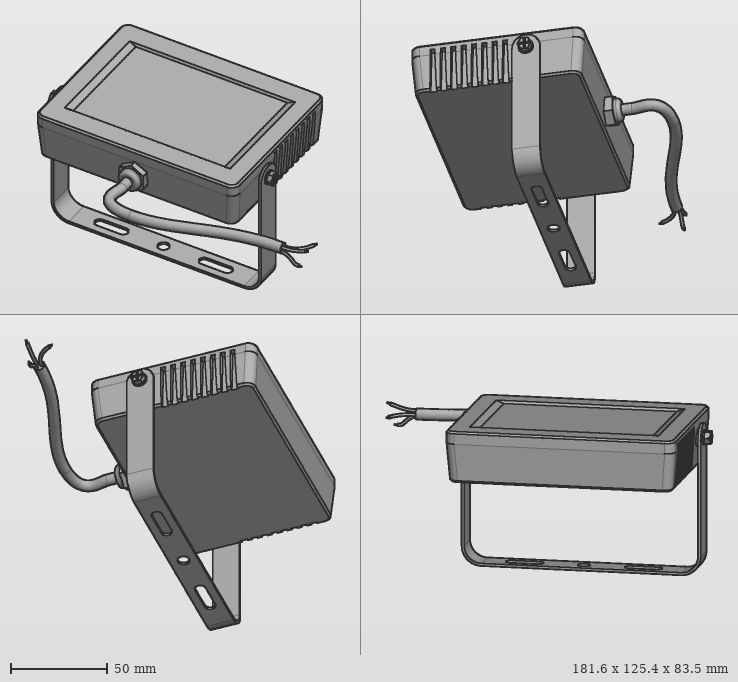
import cadquery as cq
import math


HOUSING_X = 121.8
HOUSING_Y = 91.8
HOUSING_Z = 27.5
FRAME_Z = 6.5
SHELL_Z = HOUSING_Z - FRAME_Z
DRAFT = 4.5
CORNER_R = 4.9
EDGE_CHAMFER = 1.0

WINDOW_X = 100.3
WINDOW_Y = 65.6
WINDOW_DEPTH = 1.5
WINDOW_SLOPE_X = 4.2
WINDOW_SLOPE_Y = 0.9

SLOT_COUNT = 8
SLOT_PITCH = 5.52
FIRST_SLOT_Y = 34.0
SLOT_TOP_Z = 24.0
SLOT_TOP_WIDTH = 2.4
SLOT_BACK_WIDTH = 3.5
SLOT_DEPTH = 3.6

STRAP_T = 1.5
STRAP_WIDTH = 14.9
BRACKET_X = 127.2
BRACKET_BOTTOM_Z = -56.0
EAR_FLAT = 0.04
BEND_R = 10.5
MOUNT_HOLE_D = 6.5
MOUNT_SLOT_LENGTH = 20.0
MOUNT_SLOT_WIDTH = 5.8
MOUNT_SLOT_X = 31.6

PIVOT_Y = -16.5
PIVOT_Z = 16.5
BOSS_D = 9.6
SHANK_D = 4.0
FLANGE_D = 7.8
FLANGE_T = 0.9
HEAD_CORNERS = 7.5
HEAD_T = 3.0
CROSS_LENGTH = 5.5
CROSS_WIDTH = 1.0
CROSS_DEPTH = 1.0

GLAND_Z = 12.0
NUT_FLATS = 14.7
NUT_LENGTH = 3.6
DOME_D = 12.7
DOME_LENGTH = 3.6
DOME_FILLET = 2.2

CABLE_D = 6.0
SLEEVE_LENGTH = 5.5
CABLE_END_X = 98.1
CABLE_END_Y = -59.5
CABLE_LOW_X = 16.0
CABLE_LOW_Y = -76.5
SLEEVE_HANDLE = 5.0
BULGE_X = -5.8
BULGE_Y = -71.5
LOW_HANDLE_BEFORE = 14.2
LOW_HANDLE_AFTER = 26.5
END_HANDLE = 36.3

WIRE_D = 1.6
CORE_D = 0.7
CORE_LENGTH = 1.6
WIRE_EMBED = 1.8
WIRE_RING_R = 1.5
SIDEWAYS_XY = [(103.5, -56.7), (108.0, -53.2), (110.7, -48.7)]
UPWARD_XZ = [(104.5, 14.0), (112.5, 16.5)]
DOWNWARD_XZ = [(101.2, 9.8), (106.0, 6.0), (108.5, 5.5)]
SIDEWAYS_END = (1, 2, 0)
UPWARD_END = (3, 0, 1)
DOWNWARD_END = (1, 0, 0)

EMBED = 3.6

half_x = HOUSING_X / 2
front_y = -HOUSING_Y / 2
nut_end_y = front_y - NUT_LENGTH
dome_end_y = nut_end_y - DOME_LENGTH
sleeve_end_y = dome_end_y - SLEEVE_LENGTH
bracket_half_x = BRACKET_X / 2


def frame_and_shell():
    frame = (
        cq.Workplane("XY", origin=(0, 0, SHELL_Z))
        .rect(HOUSING_X, HOUSING_Y)
        .extrude(FRAME_Z)
        .edges("|Z")
        .fillet(CORNER_R)
        .faces(">Z")
        .chamfer(EDGE_CHAMFER)
    )
    shell = (
        cq.Workplane("XY", origin=(0, 0, SHELL_Z))
        .rect(HOUSING_X, HOUSING_Y)
        .extrude(-SHELL_Z, taper=DRAFT)
        .edges("not #Z")
        .fillet(CORNER_R)
        .faces("<Z")
        .chamfer(EDGE_CHAMFER)
    )
    return frame.union(shell)


def window():
    return (
        cq.Workplane("XY", origin=(0, 0, HOUSING_Z))
        .rect(WINDOW_X, WINDOW_Y)
        .workplane(offset=-WINDOW_DEPTH)
        .rect(WINDOW_X - 2 * WINDOW_SLOPE_X, WINDOW_Y - 2 * WINDOW_SLOPE_Y)
        .loft(ruled=True)
    )


def cooling_slot(side, y):
    outline = [
        (y - SLOT_BACK_WIDTH / 2, 0),
        (y + SLOT_BACK_WIDTH / 2, 0),
        (y + SLOT_TOP_WIDTH / 2, SLOT_TOP_Z),
        (y - SLOT_TOP_WIDTH / 2, SLOT_TOP_Z),
    ]
    floor_x = side * (half_x - SLOT_DEPTH)
    return cq.Workplane("YZ", origin=(floor_x, 0, 0)).polyline(outline).close().extrude(side * SLOT_DEPTH)


def pivot_bolt(side):
    """Boss, shank and cross-recessed hexagon head on one X side of the housing."""
    strap_inner_x = bracket_half_x - STRAP_T
    flange_x = bracket_half_x + FLANGE_T
    head_end_x = flange_x + HEAD_T

    def across(x):
        return cq.Workplane("YZ", origin=(side * x, PIVOT_Y, PIVOT_Z))

    boss_start_x = half_x - EMBED
    boss = across(boss_start_x).circle(BOSS_D / 2).extrude(side * (strap_inner_x - boss_start_x))
    shank = across(strap_inner_x).circle(SHANK_D / 2).extrude(side * STRAP_T)
    flange = across(bracket_half_x).circle(FLANGE_D / 2).extrude(side * FLANGE_T)
    head = across(flange_x).polygon(6, HEAD_CORNERS).extrude(side * HEAD_T)
    cross = (
        across(head_end_x)
        .rect(CROSS_LENGTH, CROSS_WIDTH)
        .extrude(-side * CROSS_DEPTH)
        .union(across(head_end_x).rect(CROSS_WIDTH, CROSS_LENGTH).extrude(-side * CROSS_DEPTH))
    )
    return boss.union(shank).union(flange).union(head.cut(cross))


def gland():
    """Hexagon nut, rounded dome and straight cable sleeve along -Y."""
    def along(y):
        return cq.Workplane("XZ", origin=(0, y, GLAND_Z))

    nut_corners = NUT_FLATS / math.cos(math.radians(30))
    nut = (
        along(front_y + EMBED)
        .transformed(rotate=(0, 0, 90))
        .polygon(6, nut_corners)
        .extrude(NUT_LENGTH + EMBED)
    )
    dome = along(nut_end_y).circle(DOME_D / 2).extrude(DOME_LENGTH).faces("<Y").edges().fillet(DOME_FILLET)
    sleeve = along(dome_end_y).circle(CABLE_D / 2).extrude(SLEEVE_LENGTH)
    return nut.union(dome).union(sleeve)


def cable():
    sleeve_end = (0, sleeve_end_y)
    low_point = (CABLE_LOW_X, CABLE_LOW_Y)
    bend = [
        sleeve_end,
        (0, sleeve_end_y - SLEEVE_HANDLE),
        (BULGE_X, BULGE_Y),
        (CABLE_LOW_X - LOW_HANDLE_BEFORE, CABLE_LOW_Y),
        low_point,
    ]
    run = [
        low_point,
        (CABLE_LOW_X + LOW_HANDLE_AFTER, CABLE_LOW_Y),
        (CABLE_END_X - END_HANDLE, CABLE_END_Y),
        (CABLE_END_X, CABLE_END_Y),
    ]
    path = cq.Workplane("XY", origin=(0, 0, GLAND_Z)).bezier(bend).bezier(run)
    return cq.Workplane("XZ", origin=(0, sleeve_end_y, GLAND_Z)).circle(CABLE_D / 2).sweep(path)


def wire(bends, end_direction):
    """Insulated wire through the given points, starting along +X, with a bare core at its tip."""
    start = cq.Vector(*bends[0]) - cq.Vector(WIRE_EMBED, 0, 0)
    tip = cq.Vector(*bends[-1])
    direction = cq.Vector(*end_direction).normalized()
    points = [start] + [cq.Vector(*bend) for bend in bends]
    path = cq.Edge.makeSpline(points, tangents=[cq.Vector(1, 0, 0), direction])
    insulation = cq.Workplane("YZ", origin=start.toTuple()).circle(WIRE_D / 2).sweep(cq.Workplane(path))
    core = cq.Solid.makeCylinder(CORE_D / 2, 2 * CORE_LENGTH, tip - direction * CORE_LENGTH, direction)
    return insulation.union(cq.Workplane(core))


def wires():
    side_y = CABLE_END_Y + WIRE_RING_R
    pair_y = CABLE_END_Y - WIRE_RING_R * math.sin(math.radians(60))
    high_z = GLAND_Z + WIRE_RING_R
    low_z = GLAND_Z - WIRE_RING_R
    sideways = [(CABLE_END_X, side_y, GLAND_Z)] + [(x, y, GLAND_Z) for x, y in SIDEWAYS_XY]
    upward = [(CABLE_END_X, pair_y, high_z)] + [(x, pair_y, z) for x, z in UPWARD_XZ]
    downward = [(CABLE_END_X, pair_y, low_z)] + [(x, pair_y, z) for x, z in DOWNWARD_XZ]
    return [wire(sideways, SIDEWAYS_END), wire(upward, UPWARD_END), wire(downward, DOWNWARD_END)]


def make_floodlight():
    body = frame_and_shell().cut(window())
    for side in (-1, 1):
        for i in range(SLOT_COUNT):
            body = body.cut(cooling_slot(side, FIRST_SLOT_Y - i * SLOT_PITCH))
        body = body.union(pivot_bolt(side))
    body = body.union(gland()).union(cable())
    for strand in wires():
        body = body.union(strand)
    return body


def make_bracket():
    """U-shaped strap with rounded ears, pivot holes and mounting openings in its base."""
    ear_r = STRAP_WIDTH / 2
    strap_top_z = PIVOT_Z + ear_r
    strap_height = strap_top_z - BRACKET_BOTTOM_Z
    inner_x = BRACKET_X - 2 * STRAP_T

    def block(width, height, bend_r):
        return (
            cq.Workplane("XY", origin=(0, PIVOT_Y, strap_top_z))
            .rect(width, STRAP_WIDTH)
            .extrude(-height)
            .edges("|Y and <Z")
            .fillet(bend_r)
        )

    strap = block(BRACKET_X, strap_height, BEND_R)
    strap = strap.cut(block(inner_x, strap_height - STRAP_T, BEND_R - STRAP_T))
    strap = strap.edges("|X and >Z").fillet(ear_r - EAR_FLAT / 2)
    pivot_holes = (
        cq.Workplane("YZ", origin=(0, PIVOT_Y, PIVOT_Z)).circle(SHANK_D / 2).extrude(BRACKET_X, both=True)
    )
    base = cq.Workplane("XY", origin=(0, PIVOT_Y, BRACKET_BOTTOM_Z))
    mount_hole = base.circle(MOUNT_HOLE_D / 2).extrude(STRAP_T)
    mount_slots = (
        base.pushPoints([(-MOUNT_SLOT_X, 0), (MOUNT_SLOT_X, 0)])
        .slot2D(MOUNT_SLOT_LENGTH, MOUNT_SLOT_WIDTH)
        .extrude(STRAP_T)
    )
    return strap.cut(pivot_holes).cut(mount_hole).cut(mount_slots)


floodlight = make_floodlight()
bracket = make_bracket()

result = cq.Compound.makeCompound([floodlight.val(), bracket.val()])